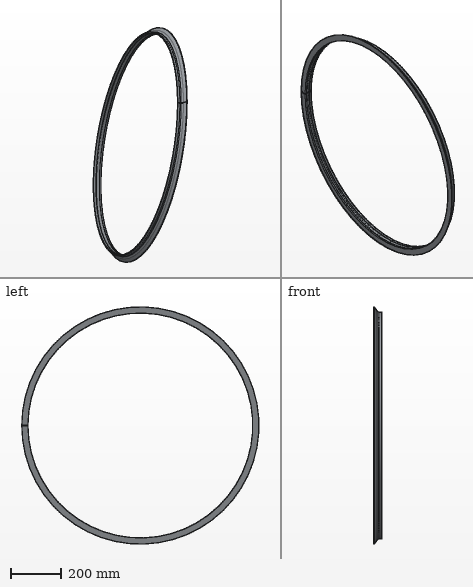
import cadquery as cq

outer_radius = 472.0
inner_radius = 446.0
width = 32.0
back_x = -width / 2
front_x = width / 2

lip_width = 3.0
cone_end_x = -5.0
cone_end_radius = 459.0
fillet_mid_x = -2.0
fillet_mid_radius = 455.0
fillet_end_x = 2.0
fillet_end_radius = 452.0
rim_start_x = 7.0
rim_radius = 451.0

groove_start_x = -8.5
groove_end_x = 6.0
groove_depth = 1.0

split_gap = 2.0


def make_ring():
    section = (
        cq.Workplane("XY")
        .moveTo(back_x, inner_radius)
        .lineTo(back_x, outer_radius)
        .lineTo(back_x + lip_width, outer_radius)
        .lineTo(cone_end_x, cone_end_radius)
        .threePointArc((fillet_mid_x, fillet_mid_radius), (fillet_end_x, fillet_end_radius))
        .lineTo(rim_start_x, rim_radius)
        .lineTo(front_x, rim_radius)
        .lineTo(front_x, inner_radius)
        .lineTo(groove_end_x, inner_radius)
        .lineTo(groove_end_x, inner_radius + groove_depth)
        .lineTo(groove_start_x, inner_radius + groove_depth)
        .lineTo(groove_start_x, inner_radius)
        .close()
    )
    return section.revolve(360, (0, 0, 0), (1, 0, 0))


def make_split_cutter():
    return cq.Workplane("XY").box(
        2 * width, 2 * outer_radius, split_gap, centered=(True, False, True)
    )


result = make_ring().cut(make_split_cutter())